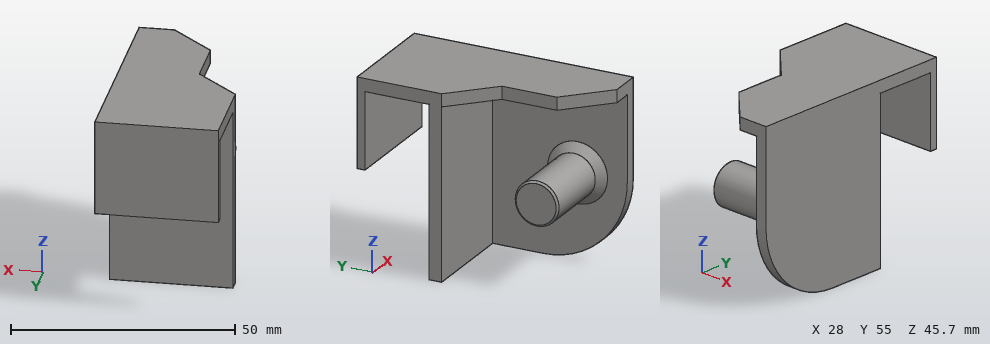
import cadquery as cq

width = 28.0
length = 54.95
height = 45.7

sheet = 3.2
plate_thickness = 3.0
lip_thickness = 2.0

lip_height = 22.25
wall_front = 33.75

step = 10.0

corner_radius = 21.15

pin_diameter = 11.0
pin_y = 12.5
pin_z = 21.25
pin_tip_x = 4.7
pin_chamfer = 0.5
flare = 2.05

plate_inner_x = width - plate_thickness


def block(size_x, size_y, size_z, corner):
    """Box placed by its lowest corner."""
    return cq.Workplane("XY").box(size_x, size_y, size_z, centered=False).translate(corner)


def top_sheet():
    outline = [
        (0, length),
        (0, wall_front),
        (step, wall_front - step),
        (step, step),
        (2 * step, 0),
        (width, 0),
        (width, length),
    ]
    return cq.Workplane("XY", origin=(0, 0, height - sheet)).polyline(outline).close().extrude(sheet)


def side_plate():
    plate = block(plate_thickness, wall_front + sheet, height, (plate_inner_x, 0, 0))
    return plate.edges("|X and <Y and <Z").fillet(corner_radius)


def pin():
    """Chamfered pin with a conical flare at its root, revolved about its X axis."""
    radius = pin_diameter / 2
    profile = [
        (pin_tip_x, 0),
        (pin_tip_x, radius - pin_chamfer),
        (pin_tip_x + pin_chamfer, radius),
        (plate_inner_x - flare, radius),
        (plate_inner_x, radius + flare),
        (width, radius + flare),
        (width, 0),
    ]
    body = cq.Workplane("XY").polyline(profile).close().revolve(360, (0, 0), (1, 0))
    return body.translate((0, pin_y, pin_z))


cross_wall = block(width, sheet, height, (0, wall_front, 0))
lip = block(width, lip_thickness, lip_height, (0, length - lip_thickness, height - lip_height))

result = top_sheet().union(cross_wall).union(lip).union(side_plate()).union(pin()).clean()